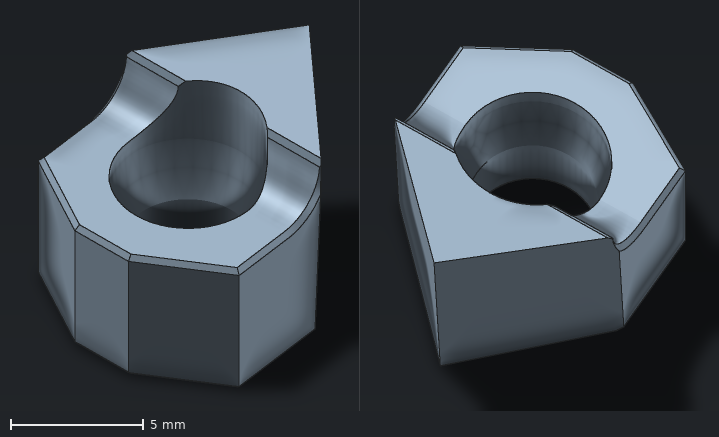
import cadquery as cq
import math

WIDTH = 10.08
LENGTH = 12.0
HEIGHT = 9.0
REAR_Y = -5.0
TIP_Y = REAR_Y + LENGTH
HALF_WIDTH = WIDTH / 2

REAR_FLAT_WIDTH = 2.69
REAR_CORNER_ANGLE = math.radians(30)

FLOOR_Z = 6.0
STEP_RADIUS = 2.0
NOSE_TOP_SLOPE = math.radians(10)
EDGE_CHAMFER = 0.2

NOSE_HALF_ANGLE = math.radians(45)
FLANK_RELIEF = math.radians(2)

COUNTERBORE_RADIUS = 3.0
BORE_RADIUS = 2.5
SEAT_TOP_Z = 5.25
SEAT_ARC_RADIUS = 7.0

CLEARANCE = 1.2
SELECTION_MARGIN = 0.12


def nose_top_z(y):
    """Height of the sloping nose top, which peaks at the tip."""
    return HEIGHT - (TIP_Y - y) * math.tan(NOSE_TOP_SLOPE)


def make_blank():
    """Block with cornered rear, stepped top and chamfered rim."""
    half_flat = REAR_FLAT_WIDTH / 2
    corner_y = REAR_Y + (HALF_WIDTH - half_flat) * math.tan(REAR_CORNER_ANGLE)
    outline = [
        (half_flat, REAR_Y),
        (HALF_WIDTH, corner_y),
        (HALF_WIDTH, TIP_Y),
        (-HALF_WIDTH, TIP_Y),
        (-HALF_WIDTH, corner_y),
        (-half_flat, REAR_Y),
    ]
    prism = cq.Workplane("XY").polyline(outline).close().extrude(HEIGHT)

    diagonal = STEP_RADIUS * math.sqrt(0.5)
    arc_middle = (diagonal, FLOOR_Z + STEP_RADIUS - diagonal)
    side_profile = (
        cq.Workplane("YZ")
        .moveTo(REAR_Y, 0)
        .lineTo(REAR_Y, FLOOR_Z)
        .lineTo(0, FLOOR_Z)
        .threePointArc(arc_middle, (STEP_RADIUS, FLOOR_Z + STEP_RADIUS))
        .lineTo(STEP_RADIUS, nose_top_z(STEP_RADIUS))
        .lineTo(TIP_Y, HEIGHT)
        .lineTo(TIP_Y, 0)
        .close()
        .extrude(HALF_WIDTH, both=True)
    )

    blank = prism.intersect(side_profile)
    blank = blank.faces("<Z").edges("not >Y").chamfer(EDGE_CHAMFER)

    upper_edges = cq.selectors.BoxSelector(
        (-WIDTH, REAR_Y - SELECTION_MARGIN, FLOOR_Z - SELECTION_MARGIN),
        (WIDTH, STEP_RADIUS + SELECTION_MARGIN, HEIGHT),
    )
    crossing_edges = cq.selectors.BoxSelector(
        (-SELECTION_MARGIN, -SELECTION_MARGIN, FLOOR_Z - SELECTION_MARGIN),
        (SELECTION_MARGIN, TIP_Y, HEIGHT),
    )
    return blank.edges(upper_edges - crossing_edges).chamfer(EDGE_CHAMFER)


def make_ridge_cutter():
    """Prism that bevels the ridge between the step wall and the nose top."""
    ridge_z = nose_top_z(STEP_RADIUS)
    bevel_y = EDGE_CHAMFER * math.cos(NOSE_TOP_SLOPE)
    bevel_z = EDGE_CHAMFER * (1 + math.sin(NOSE_TOP_SLOPE))
    lower_end = (STEP_RADIUS - bevel_y, ridge_z - EDGE_CHAMFER - bevel_z)
    upper_end = (STEP_RADIUS + 2 * bevel_y, ridge_z - EDGE_CHAMFER + 2 * bevel_z)
    open_corner = (lower_end[0], upper_end[1])
    triangle = [lower_end, upper_end, open_corner]
    return cq.Workplane("YZ").polyline(triangle).close().extrude(WIDTH, both=True)


def make_nose_envelope():
    """V-shaped solid whose two relieved flanks meet at the tip."""
    tail_y = REAR_Y - CLEARANCE

    def section(z):
        tip_shift = (HEIGHT - z) * math.tan(FLANK_RELIEF) / math.sin(NOSE_HALF_ANGLE)
        tip_y = TIP_Y - tip_shift
        half_tail = (tip_y - tail_y) * math.tan(NOSE_HALF_ANGLE)
        corners = [(0, tip_y), (-half_tail, tail_y), (half_tail, tail_y)]
        points = [cq.Vector(x, y, z) for x, y in corners]
        return cq.Wire.makePolygon(points, close=True)

    return cq.Workplane(cq.Solid.makeLoft([section(0), section(HEIGHT)], True))


def make_hole():
    """Counterbore narrowing along an arc, tangent to its wall, to the bore."""
    arc_center_r = COUNTERBORE_RADIUS - SEAT_ARC_RADIUS
    seat_angle = math.acos((BORE_RADIUS - arc_center_r) / SEAT_ARC_RADIUS)

    def seat_point(angle):
        radius = arc_center_r + SEAT_ARC_RADIUS * math.cos(angle)
        return radius, SEAT_TOP_Z - SEAT_ARC_RADIUS * math.sin(angle)

    return (
        cq.Workplane("XZ")
        .moveTo(0, -CLEARANCE)
        .lineTo(BORE_RADIUS, -CLEARANCE)
        .lineTo(*seat_point(seat_angle))
        .threePointArc(seat_point(seat_angle / 2), (COUNTERBORE_RADIUS, SEAT_TOP_Z))
        .lineTo(COUNTERBORE_RADIUS, HEIGHT + CLEARANCE)
        .lineTo(0, HEIGHT + CLEARANCE)
        .close()
        .revolve(360, (0, 0, 0), (0, 1, 0))
    )


body = make_blank().cut(make_ridge_cutter()).intersect(make_nose_envelope())
result = body.cut(make_hole())